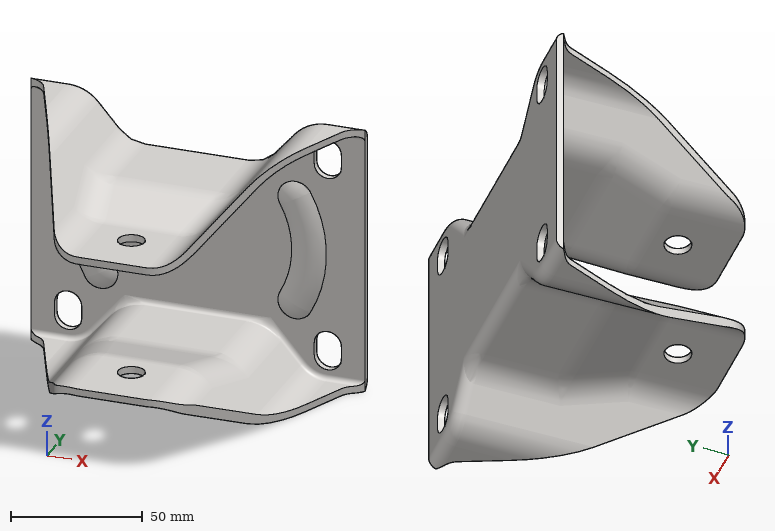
import cadquery as cq
import math


WIDTH = 135.0
DEPTH = 96.5
HEIGHT = 110.0
THICKNESS = 3.0

PLATE_BEND_RADIUS = 5.0
RIM_RADIUS = 16.6
FLOOR_RADIUS = 15.4
RAMP_START_RADIUS = 29.4
RAMP_END_RADIUS = 15.4

RECESS_ROOT_Z = 35.0
RECESS_TIP_Z = 29.0
RECESS_ROOT_HALF_WIDTH = 27.4
WALL_ANGLE = math.radians(49)
RAMP_START = 38.2
RAMP_END = 63.7
RAMP_ANGLE = math.atan2(RECESS_ROOT_Z - RECESS_TIP_Z, RAMP_END - RAMP_START)

EDGE_STEP_DEPTH = 3.0
SHOULDER_HALF_WIDTH = 61.2
SHOULDER_DEPTH = 6.6
SHOULDER_RADIUS = 8.1
TIP_HALF_WIDTH = 22.8
TIP_RADIUS = 15.0

SLOT_SPACING_X = 105.0
SLOT_SPACING_Z = 79.9
SLOT_WIDTH = 11.0
SLOT_LENGTH = 15.9
AXLE_HOLE_DIAMETER = 10.5
AXLE_HOLE_DEPTH = 75.3

BEAD_PATH_RADIUS = 45.0
BEAD_HALF_ANGLE = 28.8
BEAD_HALF_WIDTH = 7.0
BEAD_HEIGHT = 2.0

OVERSIZE = 13.5
SNUG = 0.1


def box_around(x_range, y_range, z_range):
    return cq.selectors.BoxSelector(*zip(x_range, y_range, z_range))


def recess_half_width(z, inset):
    """Half-width of the recess at height z, before its corners are rounded."""
    wall_shift = inset / math.sin(WALL_ANGLE)
    return RECESS_ROOT_HALF_WIDTH + wall_shift + (z - RECESS_ROOT_Z) / math.tan(WALL_ANGLE)


def recess_tool(inset):
    """Recess of the upper flange with its faces moved into the metal by inset."""
    ceiling = HEIGHT / 2 + OVERSIZE
    front = -DEPTH - 3 * OVERSIZE
    root_z = RECESS_ROOT_Z - inset
    tip_z = RECESS_TIP_Z - inset
    corner_shift = inset * math.tan(RAMP_ANGLE / 2)

    floor_profile = [
        (OVERSIZE, ceiling),
        (OVERSIZE, root_z),
        (corner_shift - RAMP_START, root_z),
        (corner_shift - RAMP_END, tip_z),
        (front, tip_z),
        (front, ceiling),
    ]
    floor = cq.Workplane("YZ").polyline(floor_profile).close().extrude(WIDTH / 2, both=True)
    bottom = tip_z - 1.4
    bottom_half = recess_half_width(bottom, inset)
    ceiling_half = recess_half_width(ceiling, inset)
    wall_profile = [
        (-bottom_half, bottom),
        (bottom_half, bottom),
        (ceiling_half, ceiling),
        (-ceiling_half, ceiling),
    ]
    walls = (
        cq.Workplane("XZ", origin=(0, OVERSIZE, 0))
        .polyline(wall_profile)
        .close()
        .extrude(OVERSIZE - front)
    )
    return floor.intersect(walls)


def upper_envelope(inset):
    """Solid upper half of the pressing with its outer faces moved into the metal by inset."""
    top = HEIGHT / 2 - inset
    back = -inset
    length = DEPTH + OVERSIZE
    blank_half_width = WIDTH / 2 + OVERSIZE
    inside_blank = blank_half_width - 1.4
    envelope = (
        cq.Workplane("XY")
        .box(2 * blank_half_width, length, top, centered=(True, False, False))
        .translate((0, back - length, 0))
        .cut(recess_tool(inset))
    )

    rims = box_around((-inside_blank, inside_blank), (back - length + 1.4, back - 1.4), (top - SNUG, top + SNUG))
    envelope = envelope.edges(rims).fillet(RIM_RADIUS - inset)

    plate_edges = box_around((-inside_blank, inside_blank), (back - SNUG, back + SNUG), (1.4, top + SNUG))
    envelope = envelope.edges(plate_edges).fillet(PLATE_BEND_RADIUS - inset)

    def is_floor_corner(edge):
        centre = edge.Center()
        beside_floor = abs(abs(centre.x) - recess_half_width(centre.z, inset)) < SNUG
        on_floor = RECESS_TIP_Z - SNUG < centre.z + inset < RECESS_ROOT_Z + SNUG
        return beside_floor and on_floor and back - length + 1.4 < centre.y < back - PLATE_BEND_RADIUS

    envelope = envelope.edges().filter(is_floor_corner).fillet(FLOOR_RADIUS + inset)

    corner_shift = inset * math.tan(RAMP_ANGLE / 2)
    ramp_bends = [
        (corner_shift - RAMP_START, RECESS_ROOT_Z - inset, RAMP_START_RADIUS - inset),
        (corner_shift - RAMP_END, RECESS_TIP_Z - inset, RAMP_END_RADIUS + inset),
    ]
    for y, z, radius in ramp_bends:
        bend = box_around((-SNUG, SNUG), (y - SNUG, y + SNUG), (z - SNUG, z + SNUG))
        envelope = envelope.edges(bend).fillet(radius)
    return envelope


def flange_outline():
    """Plan outline shared by the plate and both flanges, as a tall prism."""
    half = WIDTH / 2
    right_side = [
        (TIP_HALF_WIDTH, -DEPTH),
        (SHOULDER_HALF_WIDTH, -SHOULDER_DEPTH),
        (half, -EDGE_STEP_DEPTH),
        (half, 0),
    ]
    left_side = [(-x, y) for x, y in reversed(right_side)]
    prism = cq.Workplane("XY").polyline(right_side + left_side).close().extrude(HEIGHT, both=True)
    for x, y, radius in [
        (TIP_HALF_WIDTH, -DEPTH, TIP_RADIUS),
        (SHOULDER_HALF_WIDTH, -SHOULDER_DEPTH, SHOULDER_RADIUS),
    ]:
        for side in (-1, 1):
            corner = box_around((side * x - SNUG, side * x + SNUG), (y - SNUG, y + SNUG), (-1.4, 1.4))
            prism = prism.edges(corner).fillet(radius)
    return prism


def bead():
    """Domed bead on the +X side, swept along an arc about the plate centre."""
    dome_radius = (BEAD_HALF_WIDTH**2 + BEAD_HEIGHT**2) / (2 * BEAD_HEIGHT)
    crest = THICKNESS + BEAD_HEIGHT
    sunk = THICKNESS / 2
    inner_x = BEAD_PATH_RADIUS - BEAD_HALF_WIDTH
    outer_x = BEAD_PATH_RADIUS + BEAD_HALF_WIDTH

    ridge = (
        cq.Workplane("XY")
        .moveTo(inner_x, -sunk)
        .lineTo(outer_x, -sunk)
        .lineTo(outer_x, -THICKNESS)
        .threePointArc((BEAD_PATH_RADIUS, -crest), (inner_x, -THICKNESS))
        .close()
        .revolve(2 * BEAD_HALF_ANGLE, (0, 0), (0, 1))
        .rotate((0, 0, 0), (0, 1, 0), -BEAD_HALF_ANGLE)
    )

    ball = cq.Workplane("XY").sphere(dome_radius).translate((0, dome_radius - crest, 0))
    end_dome = (
        cq.Workplane("XZ", origin=(0, -sunk, 0))
        .circle(BEAD_HALF_WIDTH)
        .extrude(crest)
        .intersect(ball)
    )
    end_x = BEAD_PATH_RADIUS * math.cos(math.radians(BEAD_HALF_ANGLE))
    end_z = BEAD_PATH_RADIUS * math.sin(math.radians(BEAD_HALF_ANGLE))
    for side in (-1, 1):
        ridge = ridge.union(end_dome.translate((end_x, 0, side * end_z)))
    return ridge


def mounting_slots():
    return (
        cq.Workplane("XZ", origin=(0, OVERSIZE, 0))
        .rarray(SLOT_SPACING_X, SLOT_SPACING_Z, 2, 2)
        .slot2D(SLOT_LENGTH, SLOT_WIDTH, 90)
        .extrude(2 * OVERSIZE)
    )


def axle_holes():
    return (
        cq.Workplane("XY")
        .center(0, -AXLE_HOLE_DEPTH)
        .circle(AXLE_HOLE_DIAMETER / 2)
        .extrude(HEIGHT, both=True)
    )


upper_half = upper_envelope(0).cut(upper_envelope(THICKNESS)).intersect(flange_outline())
bracket = upper_half.union(upper_half.mirror("XY")).clean()
right_bead = bead()
bracket = bracket.union(right_bead).union(right_bead.mirror("YZ"))
result = bracket.cut(mounting_slots()).cut(axle_holes())